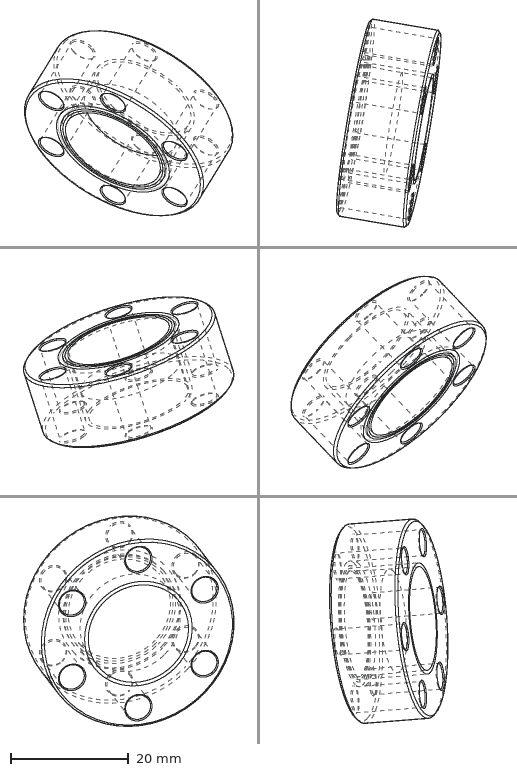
import cadquery as cq
import math

flange_radius = 17.0
thickness = 12.0
rim_chamfer = 0.4
front_y = -thickness / 2
back_y = thickness / 2

bolt_count = 6
bolt_circle_radius = 13.5
bolt_hole_radius = 2.2
bolt_hole_chamfer = 0.2

groove_outer_radius = 10.7
groove_inner_radius = 9.93
groove_wall_depth = 0.5

sleeve_outer_radius = 9.5
bore_front_radius = 9.0
window_radius = 8.85
window_recess = 6.8
window_front_y = front_y + window_recess


def disc(radius, start_y, end_y):
    """Cylinder on the Y axis between two Y positions."""
    return cq.Workplane("XZ", origin=(0, end_y, 0)).circle(radius).extrude(end_y - start_y)


def revolve_about_y(profile):
    """Turn a closed profile, drawn as (radius, Y), around the Y axis."""
    return profile.close().revolve(360, (0, 0, 0), (0, 1, 0))


def make_bolt_hole():
    """Through-hole cutter with a chamfered mouth at each end, on the Y axis."""
    mouth_radius = bolt_hole_radius + bolt_hole_chamfer
    return revolve_about_y(
        cq.Workplane("XY")
        .moveTo(0, front_y)
        .lineTo(mouth_radius, front_y)
        .lineTo(bolt_hole_radius, front_y + bolt_hole_chamfer)
        .lineTo(bolt_hole_radius, back_y - bolt_hole_chamfer)
        .lineTo(mouth_radius, back_y)
        .lineTo(0, back_y)
    )


def make_groove():
    """Ring-shaped cutter with straight walls and a semicircular floor."""
    middle_radius = (groove_outer_radius + groove_inner_radius) / 2
    floor_radius = (groove_outer_radius - groove_inner_radius) / 2
    wall_end_y = front_y + groove_wall_depth
    return revolve_about_y(
        cq.Workplane("XY")
        .moveTo(groove_outer_radius, front_y)
        .lineTo(groove_inner_radius, front_y)
        .lineTo(groove_inner_radius, wall_end_y)
        .threePointArc((middle_radius, wall_end_y + floor_radius), (groove_outer_radius, wall_end_y))
    )


def make_flange():
    """Chamfered disc with a bore for the sleeve, a groove and a ring of bolt holes."""
    flange = disc(flange_radius, front_y, back_y).faces("<Y or >Y").edges().chamfer(rim_chamfer)
    flange = flange.cut(disc(sleeve_outer_radius, front_y, back_y)).cut(make_groove())
    bolt_hole = make_bolt_hole()
    for index in range(bolt_count):
        angle = math.pi / 2 + index * 2 * math.pi / bolt_count
        x = bolt_circle_radius * math.cos(angle)
        z = bolt_circle_radius * math.sin(angle)
        flange = flange.cut(bolt_hole.translate((x, 0, z)))
    return flange


def make_sleeve():
    """Tube with a tapered bore in front of the window and a straight seat around it."""
    return revolve_about_y(
        cq.Workplane("XY")
        .moveTo(bore_front_radius, front_y)
        .lineTo(sleeve_outer_radius, front_y)
        .lineTo(sleeve_outer_radius, back_y)
        .lineTo(window_radius, back_y)
        .lineTo(window_radius, window_front_y)
    )


def make_window():
    """Plain disc seated in the back of the sleeve."""
    return disc(window_radius, window_front_y, back_y)


flange = make_flange()
sleeve = make_sleeve()
window = make_window()

result = cq.Compound.makeCompound([flange.val(), sleeve.val(), window.val()])